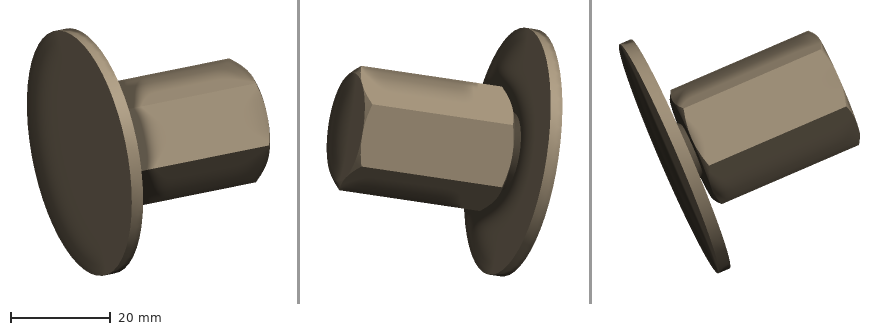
import cadquery as cq
import math

plate_diameter = 50.0
plate_thickness = 2.5
neck_base_radius = 7.85
neck_length = 2.5
neck_tip_radius = neck_base_radius - neck_length

nut_across_flats = 22.0
nut_length = 32.0
nut_chamfer_angle = 30.0

nut_start = plate_thickness + neck_length
nut_end = nut_start + nut_length
nut_flat_radius = nut_across_flats / 2
nut_corner_radius = nut_flat_radius / math.cos(math.radians(30))
nut_chamfer_depth = (nut_corner_radius - nut_flat_radius) * math.tan(math.radians(nut_chamfer_angle))


def revolve_about_y(profile):
    """Revolve a closed (radius, y) outline a full turn about the Y axis."""
    return cq.Workplane("XY").polyline(profile).close().revolve(360, (0, 0, 0), (0, 1, 0))


def make_plate():
    """Disc and conical neck as one solid."""
    return revolve_about_y([
        (0, 0),
        (plate_diameter / 2, 0),
        (plate_diameter / 2, plate_thickness),
        (neck_base_radius, plate_thickness),
        (neck_tip_radius, nut_start),
        (0, nut_start),
    ])


def make_nut():
    """Hexagonal prism with corners on X, its corners chamfered at both ends."""
    prism = (
        cq.Workplane("XZ", origin=(0, nut_start, 0))
        .polygon(6, 2 * nut_corner_radius)
        .extrude(-nut_length)
    )
    chamfer_envelope = revolve_about_y([
        (0, nut_start),
        (nut_flat_radius, nut_start),
        (nut_corner_radius, nut_start + nut_chamfer_depth),
        (nut_corner_radius, nut_end - nut_chamfer_depth),
        (nut_flat_radius, nut_end),
        (0, nut_end),
    ])
    return prism.intersect(chamfer_envelope)


plate = make_plate()
nut = make_nut()

result = cq.Compound.makeCompound([plate.val(), nut.val()])